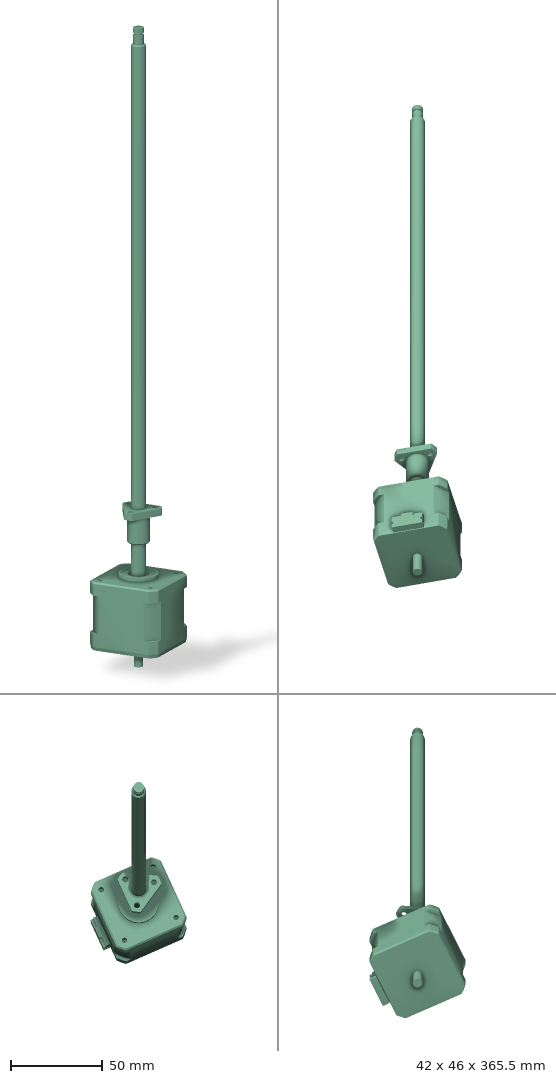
import cadquery as cq
import math

motor_rear_z = 12.0
rear_cap_top_z = 21.5
front_cap_base_z = 43.5
motor_front_z = 51.2
overall_length = 365.5

motor_width = 42.0
half_width = motor_width / 2
cap_corner_radius = 27.0
stator_corner_radius = 25.2
front_edge_chamfer = 0.9
rear_chamfer_height = 2.2
rear_chamfer_inset = 0.55
boss_radius = 11.0
boss_height = 2.2
boss_recess_radius = 10.0
boss_recess_depth = 0.55
bearing_bore_radius = 6.0
bearing_bore_depth = 2.2
mount_hole_spacing = 31.0
mount_hole_diameter = 3.0
mount_hole_depth = 4.5

pocket_count = 8
pocket_inner_radius = 14.0
pocket_outer_radius = 16.0
pocket_width = 6.0
pocket_skin = 1.0

connector_length = 17.2
connector_reach = 4.0
connector_height = rear_cap_top_z - motor_rear_z
connector_tab_width = 6.5
connector_notch_depth = 1.5
connector_notch_height = 2.5
connector_groove_bottom_z = 14.5
connector_groove_height = 2.0
connector_groove_depth = 0.7

rear_shaft_radius = 2.5
screw_radius = 4.0
journal_radius = 3.0
journal_length = 9.5
screw_chamfer = 0.55
groove_radius = 2.2
groove_width = 1.0
groove_offset = 3.0

nut_bottom_z = 71.0
nut_top_z = 90.5
flange_thickness = 4.0
nut_radius = 6.4
nut_chamfer = 0.7
flange_corner_radius = 12.8
flange_inradius = 8.5
flange_corner_count = 3
flange_point_angle = -90
flange_hole_circle_radius = 9.0
flange_hole_diameter = 3.3


def cylinder(radius, bottom_z, top_z):
    return cq.Workplane("XY").workplane(offset=bottom_z).circle(radius).extrude(top_z - bottom_z)


def corner_box(x, y, z, length, width, height):
    """Box given by its lowest corner and its sizes along X, Y and Z."""
    return cq.Workplane("XY").box(length, width, height, centered=False).translate((x, y, z))


def trimmed_square(corner_radius, bottom_z, top_z):
    """Square block whose four corners are trimmed to a common circle."""
    height = top_z - bottom_z
    block = cq.Workplane("XY").workplane(offset=bottom_z).rect(motor_width, motor_width).extrude(height)
    return block.intersect(cylinder(corner_radius, bottom_z, top_z))


def make_front_cap():
    cap = trimmed_square(cap_corner_radius, front_cap_base_z, motor_front_z)
    cap = cap.faces(">Z").edges().chamfer(front_edge_chamfer)
    boss_top_z = motor_front_z + boss_height
    cap = cap.union(cylinder(boss_radius, motor_front_z, boss_top_z))
    cap = cap.cut(cylinder(boss_recess_radius, boss_top_z - boss_recess_depth, boss_top_z))
    cap = cap.cut(cylinder(bearing_bore_radius, boss_top_z - bearing_bore_depth, boss_top_z))
    cap = cap.cut(cylinder(screw_radius, front_cap_base_z, boss_top_z))
    pocket_center_radius = (pocket_inner_radius + pocket_outer_radius) / 2
    pocket_height = motor_front_z - pocket_skin - front_cap_base_z
    pockets = (
        cq.Workplane("XY").workplane(offset=front_cap_base_z)
        .polarArray(pocket_center_radius, 0, 360, pocket_count)
        .rect(pocket_outer_radius - pocket_inner_radius, pocket_width)
        .extrude(pocket_height)
    )
    cap = cap.cut(pockets)
    mount_holes = (
        cq.Workplane("XY").workplane(offset=motor_front_z)
        .rect(mount_hole_spacing, mount_hole_spacing, forConstruction=True).vertices()
        .circle(mount_hole_diameter / 2).extrude(-mount_hole_depth)
    )
    return cap.cut(mount_holes)


def make_stator():
    stator = trimmed_square(stator_corner_radius, rear_cap_top_z, front_cap_base_z)
    return stator.cut(cylinder(rear_shaft_radius, rear_cap_top_z, front_cap_base_z))


def make_rear_cap():
    rim_z = motor_rear_z + rear_chamfer_height
    taper_angle = math.degrees(math.atan2(rear_chamfer_inset, rear_chamfer_height))
    cap = trimmed_square(cap_corner_radius, rim_z, rear_cap_top_z)
    rim_outline = cap.faces("<Z").wires().toPending()
    tapered_rim = rim_outline.extrude(-rear_chamfer_height, combine=False, taper=taper_angle)
    cap = cap.union(tapered_rim)
    return cap.cut(cylinder(rear_shaft_radius, motor_rear_z, rear_cap_top_z))


def make_connector():
    """Block with a notch on each side of a middle tab and a groove across each end."""
    outer_y = half_width + connector_reach
    notch_length = (connector_length - connector_tab_width) / 2
    connector = corner_box(
        -connector_length / 2, half_width, motor_rear_z, connector_length, connector_reach, connector_height
    )
    notch_y = outer_y - connector_notch_depth
    notch_z = rear_cap_top_z - connector_notch_height
    for notch_x in (-connector_length / 2, connector_tab_width / 2):
        connector = connector.cut(
            corner_box(notch_x, notch_y, notch_z, notch_length, connector_notch_depth, connector_notch_height)
        )
    for groove_x in (-connector_length / 2, connector_length / 2 - connector_groove_depth):
        connector = connector.cut(
            corner_box(
                groove_x, half_width, connector_groove_bottom_z,
                connector_groove_depth, connector_reach, connector_groove_height,
            )
        )
    return connector


def make_screw():
    shoulder_z = overall_length - journal_length
    screw = cylinder(screw_radius, front_cap_base_z, shoulder_z).faces(">Z").edges().chamfer(screw_chamfer)
    screw = screw.union(cylinder(rear_shaft_radius, 0, front_cap_base_z))
    screw = screw.union(cylinder(journal_radius, shoulder_z, overall_length))
    groove_top_z = overall_length - groove_offset
    groove = cylinder(journal_radius, groove_top_z - groove_width, groove_top_z)
    groove = groove.cut(cylinder(groove_radius, groove_top_z - groove_width, groove_top_z))
    return screw.cut(groove)


def make_nut():
    flange_bottom_z = nut_top_z - flange_thickness
    body = cylinder(nut_radius, nut_bottom_z, flange_bottom_z).faces("<Z").edges().chamfer(nut_chamfer)
    triangle_diameter = 2 * flange_inradius / math.cos(math.pi / flange_corner_count)
    triangle = (
        cq.Workplane("XY").workplane(offset=flange_bottom_z)
        .polygon(flange_corner_count, triangle_diameter).extrude(flange_thickness)
        .rotate((0, 0, 0), (0, 0, 1), flange_point_angle)
    )
    flange = triangle.intersect(cylinder(flange_corner_radius, flange_bottom_z, nut_top_z))
    holes = (
        cq.Workplane("XY").workplane(offset=flange_bottom_z)
        .polarArray(flange_hole_circle_radius, flange_point_angle, 360, flange_corner_count)
        .circle(flange_hole_diameter / 2).extrude(flange_thickness)
    )
    nut = body.union(flange.cut(holes))
    return nut.cut(cylinder(screw_radius, nut_bottom_z, nut_top_z))


front_cap = make_front_cap()
stator = make_stator()
rear_cap = make_rear_cap()
connector = make_connector()
screw = make_screw()
nut = make_nut()

result = cq.Compound.makeCompound(
    [front_cap.val(), stator.val(), rear_cap.val(), connector.val(), screw.val(), nut.val()]
)